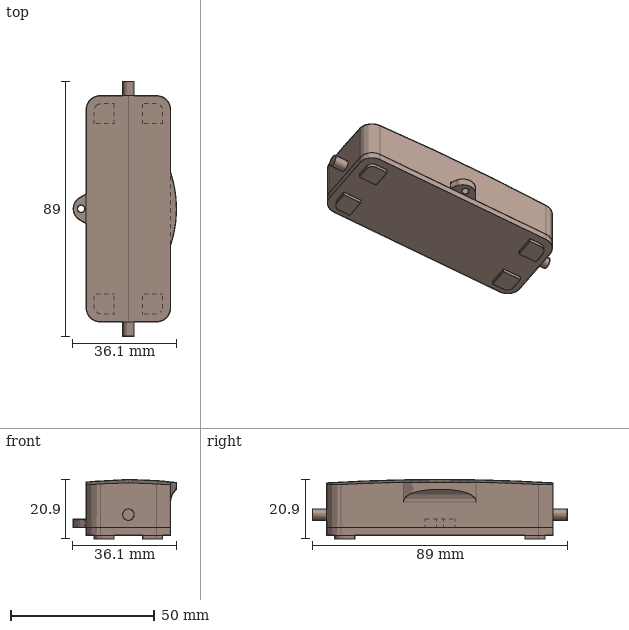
import cadquery as cq
import math

width = 29.5
length = 79.0
corner_radius = 5.0
half_width = width / 2
half_length = length / 2

foot_height = 1.35
seam_z = 4.0
crown_z = 20.86

crown_drop_x = 0.86
crown_drop_y = 1.2
crown_overrun_angle = 0.5

foot_size = 7.0
foot_inset = 2.8
foot_corner_radius = 2.5

pin_diameter = 4.0
pin_length = 5.0
pin_z = 8.55

lug_radius = 4.5
lug_thickness = 3.0
lug_flank_angle = math.radians(30)
lug_hole_diameter = 2.5
lug_hole_offset = 1.75

grip_radius = 40.0
grip_reach = 2.06
grip_bottom_z = 13.0
grip_lip_z = 17.4


def arc_radius(half_chord, rise):
    """Radius of the arc with the given half chord and rise."""
    return (half_chord**2 + rise**2) / (2 * rise)


def rounded_block(bottom_z, top_z):
    """Upright block with the enclosure outline."""
    return (
        cq.Workplane("XY", origin=(0, 0, bottom_z))
        .rect(width, length)
        .extrude(top_z - bottom_z)
        .edges("|Z")
        .fillet(corner_radius)
    )


def crown_envelope():
    """Solid below the crown: an arc across X, revolved about an X-parallel axis far below."""
    radius_x = arc_radius(half_width, crown_drop_x)
    radius_y = arc_radius(half_length, crown_drop_y)
    reach = half_width + 2 * grip_reach

    def crown_point(x):
        return (x, crown_z - radius_x + math.sqrt(radius_x**2 - x**2))

    profile = (
        cq.Workplane("XZ")
        .moveTo(-reach, 0)
        .lineTo(*crown_point(-reach))
        .threePointArc(crown_point(-reach / 2), crown_point(0))
        .threePointArc(crown_point(reach / 2), crown_point(reach))
        .lineTo(reach, 0)
        .close()
    )
    axis_z = crown_z - radius_y
    sweep_angle = 2 * (math.degrees(math.asin(half_length / radius_y)) + crown_overrun_angle)
    envelope = profile.revolve(sweep_angle, (0, axis_z), (1, axis_z), clean=False)
    return envelope.rotate((0, 0, axis_z), (1, 0, axis_z), -sweep_angle / 2)


def finger_grip():
    """Circular-segment bulge on the +X wall, hollowed underneath by a concave arc."""
    tip_x = half_width + grip_reach
    half_chord = math.sqrt(grip_radius**2 - (grip_radius - grip_reach) ** 2)
    undercut_radius = arc_radius(grip_lip_z - grip_bottom_z, grip_reach)
    mid_angle = math.asin((grip_lip_z - grip_bottom_z) / undercut_radius) / 2
    undercut_middle = (
        half_width + undercut_radius * (1 - math.cos(mid_angle)),
        grip_bottom_z + undercut_radius * math.sin(mid_angle),
    )
    segment = (
        cq.Workplane("XY", origin=(0, 0, seam_z))
        .moveTo(0, -half_chord)
        .lineTo(half_width, -half_chord)
        .threePointArc((tip_x, 0), (half_width, half_chord))
        .lineTo(0, half_chord)
        .close()
        .extrude(crown_z - seam_z)
    )
    side_profile = (
        cq.Workplane("XZ")
        .moveTo(0, grip_bottom_z)
        .lineTo(half_width, grip_bottom_z)
        .threePointArc(undercut_middle, (tip_x, grip_lip_z))
        .lineTo(tip_x, crown_z)
        .lineTo(0, crown_z)
        .close()
        .extrude(half_chord, both=True)
    )
    return segment.intersect(side_profile)


def cord_lug():
    """Round-nosed lug on the -X wall whose flanks run tangent from the nose to the wall."""
    wall_x = -half_width
    tangent_x = wall_x - lug_radius * math.sin(lug_flank_angle)
    tangent_y = lug_radius * math.cos(lug_flank_angle)
    root_half_width = lug_radius / math.cos(lug_flank_angle)
    return (
        cq.Workplane("XY", origin=(0, 0, seam_z))
        .moveTo(wall_x, -root_half_width)
        .lineTo(tangent_x, -tangent_y)
        .threePointArc((wall_x - lug_radius, 0), (tangent_x, tangent_y))
        .lineTo(wall_x, root_half_width)
        .close()
        .moveTo(wall_x - lug_hole_offset, 0)
        .circle(lug_hole_diameter / 2)
        .extrude(lug_thickness)
    )


def pivot_pin(end):
    """Pin standing on the end wall at end = -1 (-Y) or +1 (+Y)."""
    return (
        cq.Workplane("XZ", origin=(0, end * half_length, pin_z))
        .circle(pin_diameter / 2)
        .extrude(-end * pin_length)
    )


def foot(side, end):
    """Foot under one corner of the base, rounded at its outermost corner."""
    center_x = side * (half_width - foot_inset - foot_size / 2)
    center_y = end * (half_length - foot_inset - foot_size / 2)
    outer_corner = f"{'>' if side > 0 else '<'}X and {'>' if end > 0 else '<'}Y and |Z"
    return (
        cq.Workplane("XY", origin=(center_x, center_y, 0))
        .rect(foot_size, foot_size)
        .extrude(foot_height)
        .edges(outer_corner)
        .fillet(foot_corner_radius)
    )


def build_cover():
    """Crowned cover with finger grip, cord lug and pivot pins."""
    cover = rounded_block(seam_z, crown_z).union(finger_grip())
    cover = cover.intersect(crown_envelope(), clean=False).union(cord_lug(), clean=False)
    for end in (-1, 1):
        cover = cover.union(pivot_pin(end), clean=False)
    return cover


def build_base():
    """Flat base plate standing on four feet."""
    base = rounded_block(foot_height, seam_z)
    for side in (-1, 1):
        for end in (-1, 1):
            base = base.union(foot(side, end))
    return base


cover = build_cover()
base = build_base()
result = cq.Compound.makeCompound([*cover.solids().vals(), *base.solids().vals()])